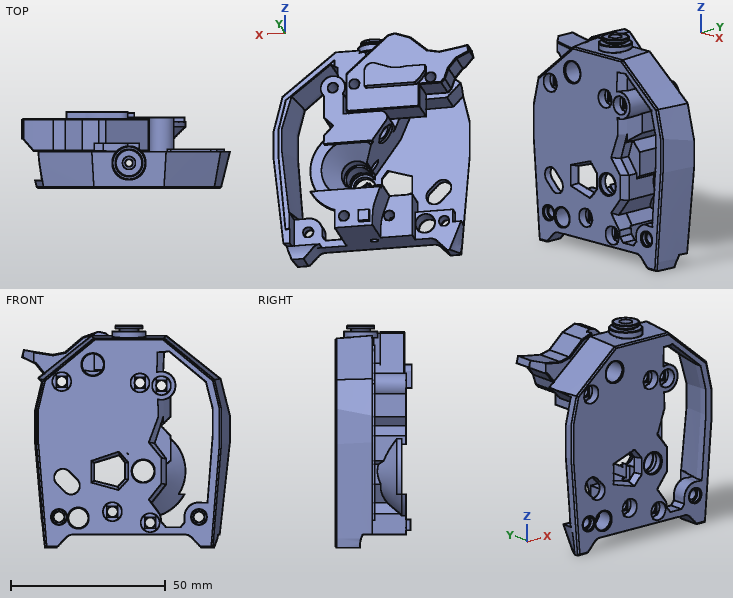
import cadquery as cq


BACK_OF_FRAME = 11.9
LIP_HEIGHT = 0.8
FOOT_DEPTH = 8.0
BASE_DEPTH = 5.2
PLATE = 2.6
REAR = 22.9
STEP_BACK = 21.5
BLOCK_FRONT = 6.0
BLOCK_LEFT = -2.6
BLOCK_FOOT_X = 9.9
SIDE_X = 13.45
LOW_STEP = 6.3
MID_STEP = 10.5
BASE_Z = 4.3
EDGE_CHAMFER = 0.5

FILAMENT_Y = 8.2
FILAMENT_DIA = 2.4
TUBE_DIA = 4.2

GEAR_X = 4.6
GEAR_Z = 24.8
GEAR_WALL_X = 0.9
CAVITY_FLOOR = 18.4
SLOPE_FOOT = (GEAR_WALL_X, 28.6)
SLOPE_TOP = (-9.5, 43.2)

SCREW_DIA = 3.4
SCREW_HEAD_DIA = 6.1
SCREW_HEAD_DEPTH = 3.0
BRIDGE = 0.3
BRIDGE_WIDTH = 3.5
LATCH_PIVOT = (3.55, 53.3)
LATCH_SCREW = (-21.7, 53.7)
BOSS = (10.5, 52.4)
SCREWS = [LATCH_PIVOT, LATCH_SCREW, BOSS, (-5.35, 11.7), (6.85, 8.15)]
BOSS_DIA = 8.0
LOBE_DIA = 9.1
ACCESS_HOLE = (-16.35, 9.65)
ACCESS_DIA = 6.4
LATCH_SIGHT = (-11.65, 59.2)
LATCH_SIGHT_DIA = 7.0
MOUNT_X = 22.6
MOUNT_Z = 10.0
MOUNT_BOSS_DIA = 9.5

LATCH_FRONT = 12.0
LATCH_BACK = 22.4
LATCH_END_X = 6.3
LATCH_BOTTOM = 44.0
LATCH_CHAMFER = 0.3
LATCH_ROUND = 1.0
SLOT_BACK = 14.5
KNOB_BACK = 24.7

FITTING_SEAT_Z = 67.8
FITTING_TOP = 70.0
FITTING_DIA = 10.9
FITTING_STEM_DIA = 8.45
FITTING_BOTTOM = 60.0
COLLET_TOP = 71.89
COLLET_FLANGE_Z = 70.7
COLLET_FLANGE_DIA = 8.9
COLLET_STEM_DIA = 6.25
COLLET_BOTTOM = 62.0
RIM_CHAMFER = 0.25

BIG = 50.0


def prism(points, y0, y1):
    """Closed polygon of (x, z) points extruded between two depths."""
    return cq.Workplane("XZ", origin=(0, y0, 0)).polyline(points).close().extrude(y0 - y1)


def box(x0, x1, y0, y1, z0, z1):
    return cq.Workplane("XY").box(x1 - x0, y1 - y0, z1 - z0, centered=False).translate((x0, y0, z0))


def rod(place, diameter, y0, y1):
    """Cylinder along Y at an (x, z) place."""
    return cq.Workplane("XZ", origin=(place[0], y0, place[1])).circle(diameter / 2).extrude(y0 - y1)


def flared_rod(place, diameter, depth):
    """Hole from the front face with a chamfered mouth."""
    hole = rod(place, diameter, 0, depth)
    mouth = rod(place, diameter + EDGE_CHAMFER, 0, EDGE_CHAMFER).faces(">Y").chamfer(EDGE_CHAMFER / 2)
    return hole.union(mouth)


def post(diameter, z0, z1):
    """Cylinder along the filament axis."""
    return cq.Workplane("XY", origin=(0, FILAMENT_Y, z0)).circle(diameter / 2).extrude(z1 - z0)


def ruled(front_points, y0, back_points, y1):
    """Straight-sided body between two outlines at different depths."""
    front = cq.Wire.makePolygon([cq.Vector(x, y0, z) for x, z in front_points], close=True)
    back = cq.Wire.makePolygon([cq.Vector(x, y1, z) for x, z in back_points], close=True)
    return cq.Workplane(cq.Solid.makeLoft([front, back], True))


def cone_about_gear(radius0, y0, radius1, y1):
    return cq.Workplane(
        cq.Solid.makeCone(radius0, radius1, y1 - y0, cq.Vector(GEAR_X, y0, GEAR_Z), cq.Vector(0, 1, 0))
    )


def mirrored(half):
    """Outline symmetric about X = 0 from its right half, listed from the bottom up."""
    return half + [(-x, z) for x, z in reversed(half)]


FRONT_HALF = [(27.0, 0), (27.25, 3.1), (29.7, 33.5), (29.7, 45.0), (27.5, 54.3), (11.3, 67.65)]
BACK_HALF = [(27.7, 0), (29.2, 3.1), (32.63, 34.1), (32.63, 42.7), (29.6, 54.6), (12.0, 68.55)]


def frame_shell():
    """Front frame that widens towards the back."""
    shell = ruled(mirrored(FRONT_HALF), 0, mirrored(BACK_HALF), BACK_OF_FRAME)
    return shell.faces("<Y").edges().chamfer(EDGE_CHAMFER)


def side_void():
    """Open left side behind the front plate, with a stepped floor."""
    ceiling = [SLOPE_FOOT, (-7.5, 40.4), (-11.5, 50.0), (-24.8, 50.2), (-BIG, 76.0)]
    mid_x = -13.0
    foot_x = -25.5
    foot_z = 9.5
    low_z = 13.7
    low = [(-BIG, foot_z), (foot_x, foot_z), (foot_x, low_z), (mid_x, low_z), (mid_x, CAVITY_FLOOR)]
    mid = [(-BIG, -1), (mid_x, -1), (mid_x, CAVITY_FLOOR)]
    deep = [(-BIG, -1), (GEAR_WALL_X, -1)]
    corner = [(GEAR_WALL_X, CAVITY_FLOOR)]
    void = prism(low + corner + ceiling, PLATE, LOW_STEP)
    void = void.union(prism(mid + corner + ceiling, LOW_STEP, MID_STEP))
    return void.union(prism(deep + ceiling, MID_STEP, BACK_OF_FRAME))


OPENING_LEG = [(12.9, 63.5), (24.8, 53.6), (27.0, 45.0), (27.0, 36.5), (25.3, 14.6)]
OPENING_LEG_BACK = [(13.5, 64.2), (26.4, 54.2), (29.6, 43.5), (29.6, 35.5), (27.3, 14.6)]
OPENING_BASE = [
    (MOUNT_X, 14.6), (MOUNT_X, MOUNT_Z), (17.9, MOUNT_Z), (17.9, 8.2), (16.6, 6.7), (12.0, 6.7),
    (10.5, 8.4), (10.2, 10.5),
]
OPENING_LEFT = [
    (7.3, 14.6), (12.0, 20.5), (12.0, 28.8), (8.3, 33.8), (11.1, 42.4), (11.1, 57.0), (11.4, 63.2),
]
OPENING_LEFT_FRONT = [
    (6.4, 15.6), (10.5, 20.8), (10.5, 29.1), (6.4, 34.1), (9.5, 42.4), (9.0, 57.0), (9.2, 63.2),
]


def side_opening():
    """Large opening beside the right leg, bevelled on its left edge and widening to the back."""
    lip_back = BACK_OF_FRAME + LIP_HEIGHT
    front = OPENING_LEG + OPENING_BASE + OPENING_LEFT
    back = OPENING_LEG_BACK + OPENING_BASE + OPENING_LEFT
    deep = prism(front, 0, PLATE).union(ruled(front, PLATE, back, lip_back))
    bevel = ruled(OPENING_LEG + OPENING_BASE + OPENING_LEFT_FRONT, 0, front, PLATE)
    thin_base = box(BLOCK_FOOT_X, 27.2, BASE_DEPTH, lip_back, BASE_Z, 14.6)
    return deep.union(bevel).union(thin_base)


def back_lip():
    """Thin raised rim on the back of the right leg."""
    outer = [(12.3, 65.5), (28.4, 53.0), (30.8, 43.0), (30.8, 34.0), (28.5, 9.0), (12.3, 9.0)]
    return prism(outer, BACK_OF_FRAME, BACK_OF_FRAME + LIP_HEIGHT)


def gear_block():
    """Block behind the plate that carries the drive gear."""
    notch_x = 10.4
    notch_z = 39.4
    column_x = 7.0
    column_top = 50.0
    bend = (BLOCK_LEFT, 10.1)
    bend_radius = 15.0
    outline = [
        SLOPE_TOP, (column_x, SLOPE_TOP[1]), (column_x, column_top), (SIDE_X, column_top), (SIDE_X, 42.4),
        (notch_x, notch_z), (SIDE_X, 36.2), (SIDE_X, 28.2), (12.0, 27.0), (12.0, 20.5), (7.3, 14.6),
        (BLOCK_FOOT_X, 11.0), (BLOCK_FOOT_X, BASE_Z), (BLOCK_LEFT, BASE_Z), bend, (-5.5, CAVITY_FLOOR),
        (GEAR_WALL_X, CAVITY_FLOOR), SLOPE_FOOT,
    ]
    nose_radius = 2.2
    bevel_y = 7.2
    step_z0 = 17.35
    step_z1 = 33.4
    rim_radius = 15.3
    cone_radius = 13.7
    neck_radius = 6.0
    neck_y = STEP_BACK - (rim_radius - neck_radius)
    block = prism(outline, PLATE, REAR)
    block = block.edges("|Y and <X").fillet(nose_radius)
    bend_middle = (bend[0], (PLATE + REAR) / 2, bend[1])
    block = block.edges(cq.selectors.NearestToPointSelector(bend_middle)).fillet(bend_radius)
    block = block.cut(box(-BIG, BIG, STEP_BACK, BIG, step_z0, step_z1))
    bevel = [(11.1, 0), (11.1, PLATE), (SIDE_X, bevel_y), (BIG, bevel_y), (BIG, 0)]
    block = block.cut(cq.Workplane("XY", origin=(0, 0, notch_z)).polyline(bevel).close().extrude(BIG))
    block = block.cut(box(column_x, BIG, 0, BLOCK_FRONT, 0, notch_z))
    gear_place = (GEAR_X, GEAR_Z)
    cone = cone_about_gear(neck_radius, neck_y, rim_radius, STEP_BACK)
    disc = rod(gear_place, 2 * cone_radius, neck_y, STEP_BACK)
    cone = cone.intersect(disc.union(box(-BIG, BIG, 0, BIG, 0, step_z0)))
    cone = cone.intersect(box(GEAR_WALL_X, BIG, 0, BIG, 0, BIG))
    rim = rod(gear_place, 2 * rim_radius, STEP_BACK, REAR)
    rim = rim.intersect(box(BLOCK_LEFT, BIG, 0, BIG, 0, step_z0))
    return block.union(cone).union(rim)


def gear_bores():
    """Stepped bore along the gear axis, opening into a cone at the back."""
    place = (GEAR_X, GEAR_Z)
    seat_y = 5.0
    bearing_y = 11.0
    cone_y = 14.9
    shaft_dia = 7.1
    seat_dia = 8.8
    gear_dia = 8.2
    bearing_dia = 9.5
    cone_radius = 10.0
    bores = flared_rod(place, shaft_dia, REAR + 1)
    bores = bores.union(rod(place, seat_dia, PLATE, seat_y))
    bores = bores.union(rod(place, gear_dia, seat_y, bearing_y))
    bores = bores.union(rod(place, bearing_dia, bearing_y, cone_y))
    return bores.union(cone_about_gear(bearing_dia / 2, cone_y, cone_radius, STEP_BACK))


def rear_tab():
    half_width = 1.75
    tab_back = 24.35
    return box(-half_width, half_width, REAR - 1, tab_back, 5.7, 9.25)


def spring_hole():
    """Counterbored blind hole square to the sloping ceiling of the left side."""
    mouth = cq.Vector(-5.5, 16.3, 37.6)
    into = cq.Vector(SLOPE_TOP[1] - SLOPE_FOOT[1], 0, SLOPE_FOOT[0] - SLOPE_TOP[0]).normalized()
    head_radius = 3.5
    head_depth = 0.8
    pin_radius = 2.2
    pin_depth = 6.0
    lead = 2.0
    start = mouth - into.multiply(lead)
    head = cq.Solid.makeCylinder(head_radius, lead + head_depth, start, into)
    hole = cq.Solid.makeCylinder(pin_radius, lead + pin_depth, start, into)
    return cq.Workplane(head).union(cq.Workplane(hole))


def screw_hole(place):
    """Through hole with a deep head recess and two printed bridging steps at its bottom."""
    x, z = place
    half = BRIDGE_WIDTH / 2
    slot_end = SCREW_HEAD_DEPTH + BRIDGE
    head = rod(place, SCREW_HEAD_DIA, 0, SCREW_HEAD_DEPTH)
    slot = rod(place, SCREW_HEAD_DIA, 0, slot_end).intersect(box(x - half, x + half, 0, slot_end, 0, BIG * 2))
    square = box(x - half, x + half, 0, slot_end + BRIDGE, z - half, z + half)
    return head.union(slot).union(square).union(rod(place, SCREW_DIA, 0, REAR + 1))


def mount_hole(x):
    place = (x, MOUNT_Z)
    head_dia = 4.7
    head_depth = 1.8
    return flared_rod(place, head_dia, head_depth).union(rod(place, SCREW_DIA, 0, BACK_OF_FRAME + 2))


def gear_window():
    """Bevelled window in front of the filament drive."""
    window = [(-12.2, 28.1), (-3.3, 31.1), (-0.2, 27.6), (-0.2, 22.1), (-3.4, 18.7), (-12.2, 21.1)]
    inner = [(-11.2, 27.4), (-3.1, 29.9), (-1.3, 27.5), (-1.3, 22.3), (-3.6, 19.8), (-11.2, 21.7)]
    return ruled(window, 0, inner, PLATE).union(prism(inner, PLATE, LOW_STEP + 1))


def inclined_slot():
    width = 5.6
    straight = 3.7
    tilt = -45
    slot = cq.Workplane("XZ").slot2D(straight + width, width, tilt).extrude(-PLATE - 1)
    return slot.translate((-20.0, 0, 21.4))


def foot_gap():
    """Space under the base, with rounded slopes down to the two feet."""
    foot_x = 23.5
    slope_x = 19.3
    slope_radius = 3.0
    floor = -1
    half = [(foot_x, floor), (foot_x, 0), (slope_x, BASE_Z)]
    gap = prism(mirrored(half), 0, REAR).edges("|Y and >Z").fillet(slope_radius)
    arc_start = (FOOT_DEPTH, 0.8)
    arc_middle = (FOOT_DEPTH + 0.25, 2.6)
    arc_end = (FOOT_DEPTH + 0.9, BASE_Z)
    hollow = (
        cq.Workplane("YZ").moveTo(FOOT_DEPTH, floor).lineTo(*arc_start).threePointArc(arc_middle, arc_end)
        .lineTo(BIG, BASE_Z).lineTo(BIG, floor).close().extrude(BIG)
    )
    return gap.union(hollow)


def left_foot_taper():
    """Cut that slopes the left foot inwards towards its back and bottom."""
    top = 9.5
    front = [(-BIG, -1), (-27.9, -1), (-28.2, top), (-BIG, top)]
    back = [(-BIG, -1), (-24.0, -1), (-28.2, top), (-BIG, top)]
    return ruled(front, EDGE_CHAMFER, back, LOW_STEP + 0.01)


def make_housing():
    body = frame_shell().union(back_lip()).cut(side_void()).cut(side_opening())
    body = body.union(gear_block())
    body = body.union(rod(BOSS, LOBE_DIA, 0, BACK_OF_FRAME)).union(rod(BOSS, BOSS_DIA, 0, REAR))
    body = body.union(rod((MOUNT_X, MOUNT_Z), MOUNT_BOSS_DIA, 0, BASE_DEPTH)).union(rear_tab())
    body = body.cut(foot_gap()).cut(left_foot_taper()).cut(gear_bores()).cut(spring_hole())
    for place in SCREWS:
        body = body.cut(screw_hole(place))
    for x in (-MOUNT_X, MOUNT_X):
        body = body.cut(mount_hole(x))
    body = body.cut(flared_rod(ACCESS_HOLE, ACCESS_DIA, LOW_STEP + 1)).cut(inclined_slot()).cut(gear_window())
    body = body.cut(flared_rod(LATCH_SIGHT, LATCH_SIGHT_DIA, BACK_OF_FRAME + 1))
    body = body.cut(post(FILAMENT_DIA, -1, FITTING_BOTTOM))
    body = body.cut(post(FITTING_STEM_DIA, FITTING_BOTTOM, FITTING_TOP))
    return body.cut(post(FITTING_DIA, FITTING_SEAT_Z, FITTING_TOP))


def shuttle_outline():
    """Sliding cam: a low left arm that rises through a hollow to a rounded hump on the right."""
    return (
        cq.Workplane("XZ", origin=(0, LATCH_FRONT, 0))
        .moveTo(-18.6, 53.0).lineTo(-20.2, 55.3).lineTo(-20.2, 57.3).lineTo(-14.0, 57.3)
        .threePointArc((-10.4, 57.1), (-7.0, 58.0)).lineTo(-3.6, 59.2)
        .threePointArc((-1.6, 58.9), (-0.35, 57.2)).lineTo(-0.35, 51.6).lineTo(-17.0, 51.6).close()
    )


def make_shuttle():
    return shuttle_outline().extrude(LATCH_FRONT - KNOB_BACK)


def make_latch():
    outline = [
        (-34.54, 61.6), (-33.9, 63.95), (-31.0, 63.4), (-24.5, 62.4), (-20.6, 63.2), (-15.0, 68.0),
        (-9.8, 69.85), (-7.5, 69.3), (LATCH_END_X, 57.0), (LATCH_END_X, LATCH_BOTTOM), (-18.0, LATCH_BOTTOM),
        (-18.0, 51.6), (-25.2, 51.6), (-26.4, 52.8), (-27.6, 56.3), (-30.2, 59.5),
    ]
    latch = prism(outline, LATCH_FRONT, LATCH_BACK)
    latch = latch.edges("|Y and >X").fillet(LATCH_ROUND)
    latch = latch.faces("<Y or >Y").edges().chamfer(LATCH_CHAMFER)
    corner = [(-BIG, 0), (-BIG, 16.0), (-34.2, 16.0), (-30.7, LATCH_FRONT), (-30.7, 0)]
    thumb_corner = cq.Workplane("XY").polyline(corner).close().extrude(2 * BIG)
    slot_left = -11.2
    slot_right = 3.4
    slot_floor = 57.5
    slot = box(slot_left, slot_right, LATCH_FRONT, SLOT_BACK, slot_floor, BIG * 2)
    latch = latch.cut(thumb_corner).cut(slot).cut(make_shuttle())
    for place in (LATCH_PIVOT, LATCH_SCREW):
        latch = latch.cut(rod(place, SCREW_DIA, LATCH_FRONT, LATCH_BACK))
    return latch.cut(rod(BOSS, BOSS_DIA, LATCH_FRONT, LATCH_BACK))


def make_fitting():
    """Flanged sleeve pressed into the top of the housing."""
    sleeve = post(FITTING_STEM_DIA, FITTING_BOTTOM, FITTING_SEAT_Z)
    sleeve = sleeve.union(post(FITTING_DIA, FITTING_SEAT_Z, FITTING_TOP).faces(">Z").chamfer(RIM_CHAMFER))
    bore = post(COLLET_STEM_DIA, COLLET_BOTTOM, FITTING_TOP)
    return sleeve.cut(bore).cut(post(FILAMENT_DIA, FITTING_BOTTOM, COLLET_BOTTOM))


def make_collet():
    """Release collar that grips the tube."""
    collet = post(COLLET_STEM_DIA, COLLET_BOTTOM, COLLET_TOP)
    collet = collet.union(post(COLLET_FLANGE_DIA, COLLET_FLANGE_Z, COLLET_TOP).edges().chamfer(RIM_CHAMFER))
    return collet.cut(post(TUBE_DIA, COLLET_BOTTOM, COLLET_TOP))


housing = make_housing()
latch = make_latch()
shuttle = make_shuttle()
fitting = make_fitting()
collet = make_collet()

result = cq.Compound.makeCompound([housing.val(), latch.val(), shuttle.val(), fitting.val(), collet.val()])